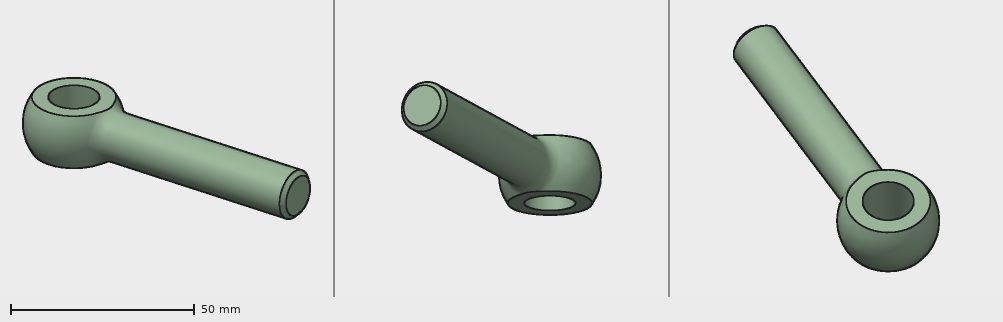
import cadquery as cq
import math

ball_diameter = 28.0
eye_thickness = 16.0
hole_diameter = 14.0
shank_diameter = 14.0
shank_end = 75.0
neck_radius = 6.0
end_chamfer = 1.3

ball_radius = ball_diameter / 2
shank_radius = shank_diameter / 2

neck_center_y = shank_radius + neck_radius
neck_center_x = math.sqrt((ball_radius + neck_radius) ** 2 - neck_center_y**2)
neck_angle = math.atan2(neck_center_y, neck_center_x)


def point_on_ball(angle):
    """Point on the ball's outline at an angle from the shank axis."""
    return (ball_radius * math.cos(angle), ball_radius * math.sin(angle))


def neck_midpoint():
    """Point halfway along the neck arc, between the ball and shank tangent points."""
    ball_side_angle = neck_angle + math.pi
    shank_side_angle = 3 * math.pi / 2
    middle_angle = (ball_side_angle + shank_side_angle) / 2
    return (
        neck_center_x + neck_radius * math.cos(middle_angle),
        neck_center_y + neck_radius * math.sin(middle_angle),
    )


def make_turned_body():
    """Ball, neck and chamfered shank, revolved about the X axis."""
    ball_arc_middle = point_on_ball((math.pi + neck_angle) / 2)
    return (
        cq.Workplane("XY")
        .moveTo(-ball_radius, 0)
        .threePointArc(ball_arc_middle, point_on_ball(neck_angle))
        .threePointArc(neck_midpoint(), (neck_center_x, shank_radius))
        .lineTo(shank_end - end_chamfer, shank_radius)
        .lineTo(shank_end, shank_radius - end_chamfer)
        .lineTo(shank_end, 0)
        .close()
        .revolve(360, (0, 0, 0), (1, 0, 0))
    )


def flatten_eye(body):
    """Cut the ball to two parallel flats, above and below the shank axis."""
    length = ball_radius + shank_end
    slab = cq.Workplane("XY").box(length, ball_diameter, eye_thickness)
    slab_center_x = (shank_end - ball_radius) / 2
    return body.intersect(slab.translate((slab_center_x, 0, 0)))


def drill_eye(body):
    """Bore the through hole along Z at the ball center."""
    bore = (
        cq.Workplane("XY", origin=(0, 0, -eye_thickness / 2))
        .circle(hole_diameter / 2)
        .extrude(eye_thickness)
    )
    return body.cut(bore)


result = drill_eye(flatten_eye(make_turned_body()))